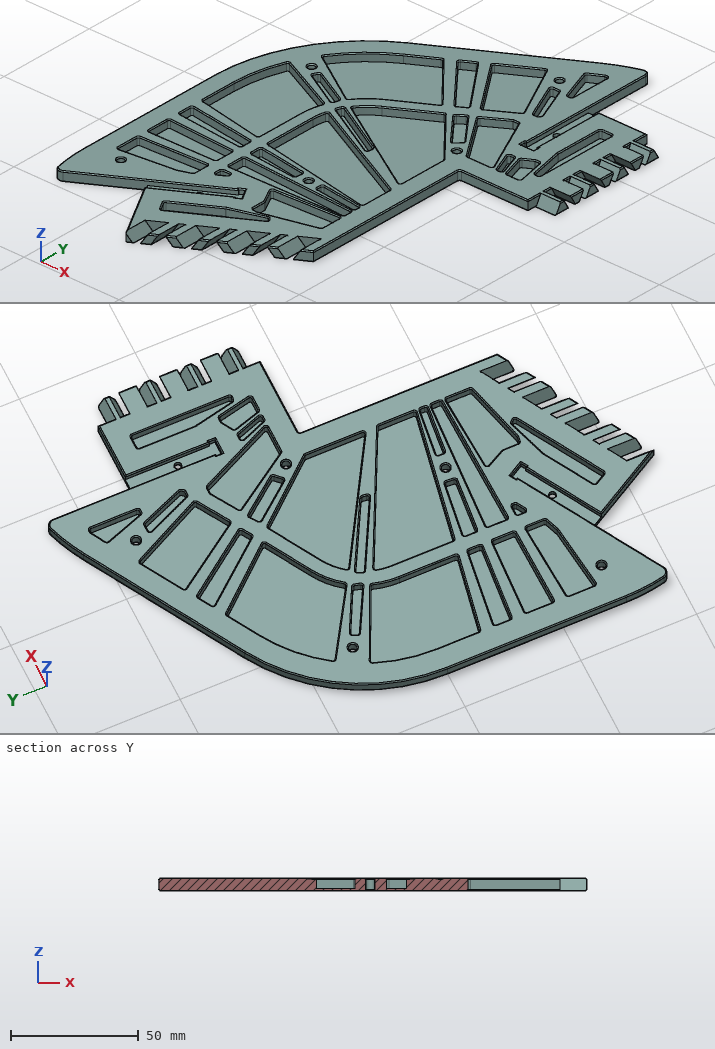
import cadquery as cq
import math


THICKNESS = 5.0
POCKET_DEPTH = 4.0
POCKET_RADIUS = 0.8
EDGE_CHAMFER = 0.5
LEFT_X = -83.89
BOTTOM_Y = -115.035
COS30 = math.cos(math.radians(30))
SIN30 = 0.5

WEB_SIDE = 146.0
BEND_RADIUS = 80.0
TIP_START = 123.4
TIP_FILLET = 3.0

LEAF_WIDTH = 70.0
LEAF_END = 105.0
LEAF_START = LEAF_END - LEAF_WIDTH
PIVOT_X = LEFT_X + WEB_SIDE * COS30
LEAF_DEPTH = -LEFT_X - PIVOT_X
TOOTH_LENGTH = 10.4
LEAF_BODY = LEAF_DEPTH - TOOTH_LENGTH
PIVOT_Y = BOTTOM_Y + LEAF_END * SIN30 + LEAF_DEPTH * COS30
INNER_X = 37.4
INNER_Y = PIVOT_Y + LEAF_START
INNER_FILLET = 1.0
TOOTH_PITCH = 17.65
TOOTH_ROWS = 4
GAP_WIDTH = 5.25
TOOTH_WIDTH = 4.75
FLANK_SHIFT = THICKNESS / 2 * math.tan(math.radians(30))

GUIDE_WIDTH = 5.5
GUIDE_START = LEAF_END - 39.0
GUIDE_DEPTH = 2.5
RELIEF_LENGTH = 2.6
RELIEF_SIDE = 0.7
PIN_DIAMETER = 3.0
PIN_PLACE = (2.6, 83.6)
SCREW_DIAMETER = 3.4
SCREW_PLACES = [(20.0, 86.6), (-59.7, 29.9), (26.7, 18.7), (-1.0, -37.4), (-66.8, -74.3)]

BORDER = 10.0
RIB_OUTER = 45.2
RIB_INNER = 51.7
WEB_LEFT = LEFT_X + BORDER
RIB_LEFT = LEFT_X + RIB_OUTER
RIB_RIGHT = LEFT_X + RIB_INNER
INNER_RIGHT = INNER_X - BORDER
INNER_BOTTOM = INNER_Y + BORDER
BORDER_RIGHT = PIVOT_X - BORDER


def upper_place(v, u):
    """Point v away from the web's vertical inner side and u along it from the pivot."""
    return (PIVOT_X + v, PIVOT_Y + u)


def lower_place(v, u):
    """Mirror image of upper_place, on the web's sloping inner side."""
    return (PIVOT_X - u * COS30 + v * SIN30, PIVOT_Y - u * SIN30 - v * COS30)


def prism(points, bottom=0.0, height=THICKNESS):
    return cq.Workplane("XY").workplane(offset=bottom).polyline(points).close().extrude(height)


def rounded_corner(inset):
    """Large rhombus inset from the two outer sides, with the wide corner rounded concentrically."""
    left = LEFT_X + inset
    corner_y = PIVOT_Y + WEB_SIDE / 2 - inset * math.tan(math.radians(30))
    length = 2 * WEB_SIDE
    body = prism([
        (left, corner_y),
        (left + length * COS30, corner_y + length * SIN30),
        (left + length * COS30, corner_y - length * SIN30),
        (left, corner_y - length),
    ])
    return body.edges("|Z and <X").edges(">Y").fillet(BEND_RADIUS - inset)


def near_vertical_edge(x, y):
    """Selector for the vertical edge that stands at the given place."""
    return cq.selectors.BoxSelector((x - 1, y - 1, -1), (x + 1, y + 1, THICKNESS + 1))


def web():
    """Rhombus with a rounded wide corner and two tips that curve in toward the inner sides."""
    tan30 = SIN30 / COS30
    corner_y = PIVOT_Y + WEB_SIDE / 2
    bend_tangent = BEND_RADIUS * tan30
    tip_turn = math.radians(30) + math.asin(COS30 * (WEB_SIDE - TIP_START) / BEND_RADIUS - SIN30)

    def upper_side(along, inward=0.0):
        return (LEFT_X + along * COS30 + inward * SIN30, corner_y + along * SIN30 - inward * COS30)

    def left_side(along, inward=0.0):
        return (LEFT_X + inward, corner_y - along)

    def tip_curve(side, turn):
        return side(TIP_START + BEND_RADIUS * math.sin(turn), BEND_RADIUS * (1 - math.cos(turn)))

    bend_depth = BEND_RADIUS * (1 / COS30 - 1)
    bend_middle = (LEFT_X + bend_depth * COS30, corner_y - bend_depth * SIN30)
    upper_tip = tip_curve(upper_side, tip_turn)
    lower_tip = tip_curve(left_side, tip_turn)
    body = (
        cq.Workplane("XY")
        .moveTo(PIVOT_X, PIVOT_Y)
        .lineTo(*upper_tip)
        .threePointArc(tip_curve(upper_side, tip_turn / 2), upper_side(TIP_START))
        .lineTo(*upper_side(bend_tangent))
        .threePointArc(bend_middle, left_side(bend_tangent))
        .lineTo(*left_side(TIP_START))
        .threePointArc(tip_curve(left_side, tip_turn / 2), lower_tip)
        .close()
        .extrude(THICKNESS)
    )
    for tip in (upper_tip, lower_tip):
        body = body.edges(near_vertical_edge(*tip)).fillet(TIP_FILLET)
    return body


def dovetail_section(centre, width, widest_at_top):
    """Corners (position, Z) of a tooth or gap with both flanks leaning 30 degrees."""
    shift = FLANK_SHIFT if widest_at_top else -FLANK_SHIFT
    top = width / 2 + shift
    base = width / 2 - shift
    return [(centre - base, 0), (centre + base, 0), (centre + top, THICKNESS), (centre - top, THICKNESS)]


def tooth_centres(leaf_middle):
    """Centres of four main teeth, and of the three of the other kind between them."""
    first = leaf_middle - (TOOTH_ROWS - 1) / 2 * TOOTH_PITCH
    main = [first + i * TOOTH_PITCH for i in range(TOOTH_ROWS)]
    between = [centre + TOOTH_PITCH / 2 for centre in main[:-1]]
    return main, between


def leaf_body(place, start, reach):
    """Block that stands on a web side, from the given place to the leaf's far edge."""
    return prism([place(0, start), place(reach, start), place(reach, LEAF_END), place(0, LEAF_END)])


def upper_teeth():
    """Teeth along X: dovetails that are narrow and wide at the top in turn."""
    envelope = leaf_body(upper_place, LEAF_START, LEAF_DEPTH)
    envelope = envelope.faces(">X").edges("|Y").chamfer(EDGE_CHAMFER)
    narrow_top, wide_top = tooth_centres(INNER_Y + LEAF_WIDTH / 2)
    teeth = []
    for centres, widest_at_top in ((narrow_top, False), (wide_top, True)):
        for centre in centres:
            section = dovetail_section(centre, TOOTH_WIDTH, widest_at_top)
            root = cq.Workplane("YZ", origin=(PIVOT_X + LEAF_BODY - 2 * EDGE_CHAMFER, 0, 0))
            tooth = root.polyline(section).close().extrude(LEAF_DEPTH)
            teeth.append(tooth.intersect(envelope))
    return teeth


def inner_notch():
    """Space between the leaves, right of the lower leaf and below the upper leaf."""
    depth = LEAF_END + LEAF_START
    notch = prism([
        (INNER_X, INNER_Y),
        (INNER_X + depth, INNER_Y),
        (INNER_X + depth, INNER_Y - depth),
        (INNER_X, INNER_Y - depth),
    ])
    return notch.edges(near_vertical_edge(INNER_X, INNER_Y)).fillet(INNER_FILLET)


def lower_gaps():
    """Gaps along Y between the lower leaf's teeth, ending on a line parallel to its sloping edge."""
    wide_top, narrow_top = tooth_centres(INNER_X - LEAF_WIDTH / 2)
    gaps = []
    for centres, widest_at_top in ((wide_top, True), (narrow_top, False)):
        for centre in centres:
            section = dovetail_section(centre, GAP_WIDTH, widest_at_top)
            gaps.append(cq.Workplane("XZ").polyline(section).close().extrude(-2 * BOTTOM_Y))
    beyond = 2 * LEAF_DEPTH
    zone = prism([
        lower_place(LEAF_BODY, -LEAF_END),
        lower_place(LEAF_BODY, 2 * LEAF_END),
        lower_place(beyond, 2 * LEAF_END),
        lower_place(beyond, -LEAF_END),
    ])
    return [gap.intersect(zone) for gap in gaps]


POCKETS = [
    [(WEB_LEFT, -24.6), (RIB_LEFT, -29.5), (RIB_LEFT, -35.4), (WEB_LEFT, -32.1)],
    [(WEB_LEFT, -38.1), (RIB_LEFT, -40.0), (RIB_LEFT, -49.8), (WEB_LEFT, -50.4)],
    [(WEB_LEFT, -56.2), (RIB_LEFT, -54.4), (RIB_LEFT, -63.0), (-45.0, -65.3), (WEB_LEFT, -68.6)],
    [(-55.5, 25.2), (-53.9, 28.2), (-34.2, 18.0), (-35.2, 14.2)],
    [(-20.0, 71.6), (-13.2, 75.5), (7.6, 47.4), (2.8, 44.4)],
    [(-8.3, 78.6), (10.6, 89.6), (26.4, 58.2), (12.0, 49.5)],
    [(20.9, 80.4), (25.5, 80.4), (33.3, 61.5), (32.5, 60.0), (30.0, 60.0)],
    [(24.0, 97.3), (30.8, 101.1), (BORDER_RIGHT, 101.1), (BORDER_RIGHT, 79.7), (30.3, 79.7)],
    [(RIB_RIGHT, -53.7), (-27.3, -53.7), (-27.3, -55.5), (RIB_RIGHT, -58.3)],
    [(-7.6, -52.1), (INNER_RIGHT, -50.4), (INNER_RIGHT, -61.6), (0.0, -68.8), (-2.9, -68.4), (-2.9, -61.0)],
    [(RIB_RIGHT, -40.6), (INNER_RIGHT, -44.1), (INNER_RIGHT, -48.6), (RIB_RIGHT, -49.9)],
    [(RIB_RIGHT, -30.7), (-6.8, -34.3), (-7.2, -38.9), (RIB_RIGHT, -36.5)],
    [(5.4, -36.5), (INNER_RIGHT, -39.3), (INNER_RIGHT, -42.4), (5.4, -40.0)],
    [(-30.5, 11.4), (-29.2, 14.6), (0.9, -1.8), (0.5, -5.2)],
    [(7.2, 38.9), (11.6, 42.0), (24.4, 25.8), (20.8, 22.2)],
    [(15.3, 43.8), (27.2, 51.1), (30.3, 51.1), (46.0, INNER_BOTTOM), (32.6, INNER_BOTTOM)],
    [(43.5, 30.1), (46.9, 30.1), (51.1, INNER_BOTTOM), (48.3, INNER_BOTTOM)],
    [(49.4, 30.6), (54.6, 33.6), (57.1, 33.6), (60.5, INNER_BOTTOM), (53.2, INNER_BOTTOM)],
]

CURVED_POCKETS = [
    (BORDER, RIB_OUTER, [(-90.0, -15.4), (-90.0, 36.4), (-30.0, 8.2), (-30.0, -26.7)]),
    (BORDER, RIB_OUTER, [(-80.0, 50.0), (-35.0, 79.6), (5.0, 34.0), (-26.7, 16.6)]),
    (RIB_INNER, None, [(-40.0, -25.2), (-40.0, 11.9), (INNER_RIGHT, -21.3), (INNER_RIGHT, -37.6)]),
    (RIB_INNER, None, [(-35.0, 21.4), (-10.0, 53.2), (INNER_RIGHT, 10.2), (INNER_RIGHT, -15.8)]),
]

LEAF_POCKET = [(15.0, 95.3), (21.5, 95.3), (21.5, 52.0), (18.9, 52.5), (15.0, 70.5)]


def rounded_pocket(body):
    return body.edges("|Z").fillet(POCKET_RADIUS).translate((0, 0, THICKNESS - POCKET_DEPTH))


def curved_pocket(outer, inner, sector):
    body = prism(sector).intersect(rounded_corner(outer))
    if inner is not None:
        body = body.cut(rounded_corner(inner))
    return rounded_pocket(body)


def guide_slot(place):
    """Half-deep slot along a web side, open at the leaf's far edge and widened at its closed end."""
    floor = THICKNESS - GUIDE_DEPTH
    relief_end = GUIDE_START + RELIEF_LENGTH

    def box(v0, v1, u0, u1):
        return prism([place(v0, u0), place(v1, u0), place(v1, u1), place(v0, u1)], floor, GUIDE_DEPTH)

    slot = box(0, GUIDE_WIDTH, GUIDE_START, LEAF_END + 1)
    return slot.union(box(-RELIEF_SIDE, GUIDE_WIDTH + RELIEF_SIDE, GUIDE_START, relief_end))


def drill(body, places, diameter):
    return body.cut(cq.Workplane("XY").pushPoints(places).circle(diameter / 2).extrude(THICKNESS))


def plate():
    """Web and leaf bodies with all pockets, guide slots and holes, chamfered at both faces."""
    body = web()
    body = body.union(leaf_body(upper_place, LEAF_START, LEAF_BODY))
    body = body.union(leaf_body(lower_place, 0, LEAF_DEPTH))
    body = body.cut(inner_notch())
    for outline in POCKETS:
        body = body.cut(rounded_pocket(prism(outline)))
    for outer, inner, sector in CURVED_POCKETS:
        body = body.cut(curved_pocket(outer, inner, sector))
    for place in (upper_place, lower_place):
        body = body.cut(rounded_pocket(prism([place(v, u) for v, u in LEAF_POCKET])))
        body = body.cut(guide_slot(place))
    body = drill(body, [upper_place(*PIN_PLACE), lower_place(*PIN_PLACE)], PIN_DIAMETER)
    body = drill(body, SCREW_PLACES, SCREW_DIAMETER)
    return body.faces(">Z or <Z").edges().chamfer(EDGE_CHAMFER)


result = plate()
for tooth in upper_teeth():
    result = result.union(tooth)
for gap in lower_gaps():
    result = result.cut(gap)